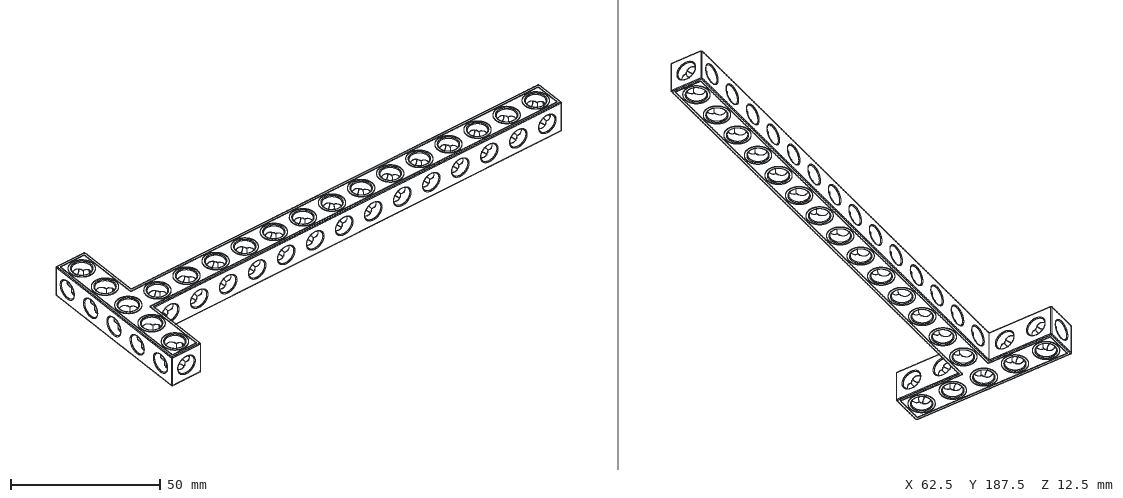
import cadquery as cq
total_length = 187.5
cells_long = 15
cells_wide = 5
cell = total_length / cells_long
half_cell = cell / 2
foot_width = cells_wide * cell

hole_diameter = 7.0
hole_radius = hole_diameter / 2
edge_chamfer = 0.3

rim_diameter = 9.2
rim_width = (rim_diameter - hole_diameter) / 2
recess_depth = 0.2

side_pitch = cell - 0.04

foot_y = half_cell
foot_x = [(i - (cells_wide - 1) / 2) * cell for i in range(cells_wide)]
stem_cells = cells_long - 1
stem_y = [foot_y + (i + 1) * cell for i in range(stem_cells)]
stem_side_y = [total_length - half_cell - i * side_pitch for i in range(stem_cells)]
cell_centres = [(x, foot_y) for x in foot_x] + [(0, y) for y in stem_y]


def make_tee(height, inset=0.0):
    """T-shaped block centred on Z = 0, with its outline moved inwards by inset."""
    bar = cell - 2 * inset
    foot = cq.Workplane("XY").box(foot_width - 2 * inset, bar, height)
    stem = cq.Workplane("XY").box(bar, total_length - 2 * inset, height)
    foot = foot.translate((0, foot_y, 0))
    stem = stem.translate((0, total_length / 2, 0))
    return foot.union(stem).clean()


def make_body():
    """Beam chamfered on its outer upright corners and around its top and bottom outlines."""
    inner_corners = cq.selectors.BoxSelector(
        (-cell, cell - edge_chamfer, -edge_chamfer),
        (cell, cell + edge_chamfer, edge_chamfer),
    )
    outer_corners = cq.selectors.InverseSelector(inner_corners)
    body = make_tee(cell).edges("|Z").edges(outer_corners).chamfer(edge_chamfer)
    return body.faces("<Z or >Z").edges().chamfer(edge_chamfer)


def drill(body, start, direction, length):
    """Cut a round hole from start along direction, with a chamfered mouth at both ends."""
    plane = cq.Plane(origin=start, normal=direction)
    cutter = cq.Workplane(plane).circle(hole_radius).extrude(length)
    mouth_radius = hole_radius + edge_chamfer
    for distance, inward in ((0, plane.zDir), (length, -plane.zDir)):
        end = plane.origin + plane.zDir * distance
        mouth = cq.Solid.makeCone(mouth_radius, hole_radius, edge_chamfer, end, inward)
        cutter = cutter.union(cq.Workplane(mouth))
    return body.cut(cutter)


def drill_vertical_holes(body):
    for x, y in cell_centres:
        body = drill(body, (x, y, -half_cell), (0, 0, 1), cell)
    return body


def drill_holes_along_y(body):
    """The middle hole of the foot continues through the whole stem."""
    for i, x in enumerate(foot_x):
        length = total_length if i == cells_wide // 2 else cell
        body = drill(body, (x, 0, 0), (0, 1, 0), length)
    return body


def drill_holes_along_x(body):
    """One lengthwise hole through the foot, then a row across the stem."""
    body = drill(body, (-foot_width / 2, foot_y, 0), (1, 0, 0), foot_width)
    for y in stem_side_y:
        body = drill(body, (-half_cell, y, 0), (1, 0, 0), cell)
    return body


def cut_recesses(body):
    """Sink the top and bottom faces inside the outline rim and outside the hole rims."""
    hole_rims = cq.Workplane("XY").pushPoints(cell_centres).circle(rim_diameter / 2)
    recess = make_tee(recess_depth, rim_width).cut(hole_rims.extrude(recess_depth, both=True))
    recess_z = half_cell - recess_depth / 2
    for z in (recess_z, -recess_z):
        body = body.cut(recess.translate((0, 0, z)))
    return body


beam = make_body()
beam = drill_vertical_holes(beam)
beam = drill_holes_along_y(beam)
beam = drill_holes_along_x(beam)
result = cut_recesses(beam)